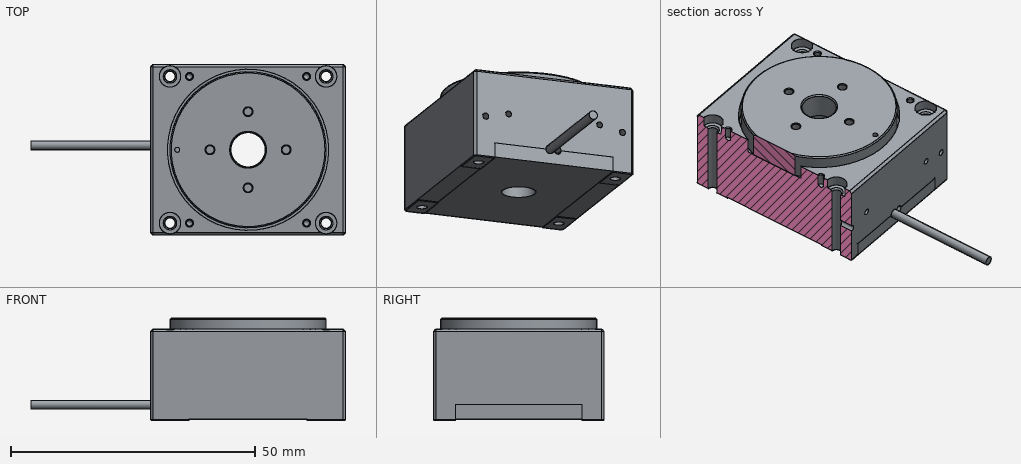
import cadquery as cq
import math

TOTAL_LENGTH = 64.5
HOUSING_LENGTH = 40.0
HOUSING_WIDTH = 35.0
TOTAL_HEIGHT = 20.95
HOUSING_HEIGHT = 18.7
LEFT_FACE_X = -HOUSING_LENGTH / 2
EDGE_CHAMFER = 0.5
BOTTOM_CHAMFER = 0.2

TABLE_DIAMETER = 32.0
TABLE_CHAMFER = 0.25
RECESS_DIAMETER = 33.0
RECESS_DEPTH = 3.2
RECESS_FLOOR_Z = HOUSING_HEIGHT - RECESS_DEPTH
BORE_DIAMETER = 7.0
BORE_CHAMFER = 0.25
TABLE_HOLE_OFFSET = 7.8
TABLE_HOLE_DIAMETER = 1.7
TABLE_HOLE_MOUTH = 2.0
TABLE_HOLE_DEPTH = 2.6
INDEX_HOLE_X = -14.5
INDEX_HOLE_DIAMETER = 1.0
INDEX_HOLE_DEPTH = 1.0

FOOT_LENGTH = 7.9
FOOT_HEIGHT = 0.2
PLATE_WIDTH = 26.0
PLATE_TOP_Z = 3.2

CORNER_HOLE_X = 16.0
CORNER_HOLE_Y = 15.0
CORNER_HOLE_DIAMETER = 2.1
CORNER_HOLE_MOUTH = 2.8
COUNTERBORE_DIAMETER = 4.4
COUNTERBORE_DEPTH = 2.2
TOP_HOLE_X = 12.0
TOP_HOLE_DIAMETER = 1.2
TOP_HOLE_MOUTH = 1.6
TOP_HOLE_DEPTH = 2.6

SIDE_HOLE_Y = 10.0
SIDE_HOLE_Z = 9.8
SIDE_HOLE_DIAMETER = 1.2
SIDE_HOLE_DEPTH = 2.6
CROSS_HOLE_Z = 8.8
CROSS_HOLE_DIAMETER = 1.3
DRILL_POINT_ANGLE = 118.0

CABLE_DIAMETER = 1.8
CABLE_Y = 0.9
SEAM_HOLE_DIAMETER = 1.55
SEAM_HOLE_Y = CABLE_Y - (CABLE_DIAMETER + SEAM_HOLE_DIAMETER) / 2
SEAM_HOLE_DEPTH = 2.6

UP = cq.Vector(0, 0, 1)
DOWN = cq.Vector(0, 0, -1)
INWARD = cq.Vector(1, 0, 0)


def cylinder(diameter, length, start, direction):
    """Round bar from the centre of one end."""
    return cq.Workplane(cq.Solid.makeCylinder(diameter / 2, length, cq.Vector(*start), direction))


def countersink(mouth, diameter, start):
    """45 degree cone that opens a vertical hole at its upper end."""
    depth = (mouth - diameter) / 2
    return cq.Workplane(cq.Solid.makeCone(mouth / 2, diameter / 2, depth, cq.Vector(*start), DOWN))


def drilled_hole(diameter, depth, start, direction):
    """Blind hole that ends in a drill point."""
    point_depth = diameter / 2 / math.tan(math.radians(DRILL_POINT_ANGLE / 2))
    point_start = cq.Vector(*start) + direction * depth
    point = cq.Solid.makeCone(diameter / 2, 0, point_depth, point_start, direction)
    return cylinder(diameter, depth, start, direction).union(cq.Workplane(point))


def bore():
    return cylinder(BORE_DIAMETER, TOTAL_HEIGHT, (0, 0, 0), UP)


def seam_hole():
    """Hole on the seam between the housing and the base plate."""
    start = (LEFT_FACE_X, SEAM_HOLE_Y, PLATE_TOP_Z)
    return cylinder(SEAM_HOLE_DIAMETER, SEAM_HOLE_DEPTH, start, INWARD)


def make_housing_block():
    block = (
        cq.Workplane("XY")
        .box(HOUSING_LENGTH, HOUSING_WIDTH, HOUSING_HEIGHT, centered=(True, True, False))
        .edges("|Z or >Z")
        .chamfer(EDGE_CHAMFER)
        .faces("<Z")
        .edges()
        .chamfer(BOTTOM_CHAMFER)
    )
    foot_gap = cq.Workplane("XY").box(
        HOUSING_LENGTH - 2 * FOOT_LENGTH, HOUSING_WIDTH, FOOT_HEIGHT, centered=(True, True, False)
    )
    plate_slot = cq.Workplane("XY").box(
        HOUSING_LENGTH, PLATE_WIDTH, PLATE_TOP_Z, centered=(True, True, False)
    )
    table_recess = cylinder(RECESS_DIAMETER, RECESS_DEPTH, (0, 0, RECESS_FLOOR_Z), UP)
    return block.cut(foot_gap).cut(plate_slot).cut(table_recess)


def corner_hole(x, y):
    """Counterbored through hole."""
    floor_z = HOUSING_HEIGHT - COUNTERBORE_DEPTH
    return (
        cylinder(CORNER_HOLE_DIAMETER, HOUSING_HEIGHT, (x, y, 0), UP)
        .union(cylinder(COUNTERBORE_DIAMETER, COUNTERBORE_DEPTH, (x, y, floor_z), UP))
        .union(countersink(CORNER_HOLE_MOUTH, CORNER_HOLE_DIAMETER, (x, y, floor_z)))
    )


def top_hole(x, y):
    start = (x, y, HOUSING_HEIGHT)
    hole = drilled_hole(TOP_HOLE_DIAMETER, TOP_HOLE_DEPTH, start, DOWN)
    return hole.union(countersink(TOP_HOLE_MOUTH, TOP_HOLE_DIAMETER, start))


def make_housing():
    housing = make_housing_block().cut(bore()).cut(seam_hole())
    for y_side in (-1, 1):
        y = y_side * CORNER_HOLE_Y
        for x_side in (-1, 1):
            housing = housing.cut(corner_hole(x_side * CORNER_HOLE_X, y))
            housing = housing.cut(top_hole(x_side * TOP_HOLE_X, y))

        cross_hole_length = HOUSING_LENGTH / 2 - CORNER_HOLE_X
        cross_start = (LEFT_FACE_X, y, CROSS_HOLE_Z)
        housing = housing.cut(cylinder(CROSS_HOLE_DIAMETER, cross_hole_length, cross_start, INWARD))

        side_start = (LEFT_FACE_X, y_side * SIDE_HOLE_Y, SIDE_HOLE_Z)
        housing = housing.cut(drilled_hole(SIDE_HOLE_DIAMETER, SIDE_HOLE_DEPTH, side_start, INWARD))
    return housing


def make_table():
    thickness = TOTAL_HEIGHT - RECESS_FLOOR_Z
    table = cylinder(TABLE_DIAMETER, thickness, (0, 0, RECESS_FLOOR_Z), UP)
    table = table.faces(">Z").chamfer(TABLE_CHAMFER).cut(bore())
    bore_mouth = BORE_DIAMETER + 2 * BORE_CHAMFER
    table = table.cut(countersink(bore_mouth, BORE_DIAMETER, (0, 0, TOTAL_HEIGHT)))

    for x_step, y_step in ((1, 0), (0, 1), (-1, 0), (0, -1)):
        start = (x_step * TABLE_HOLE_OFFSET, y_step * TABLE_HOLE_OFFSET, TOTAL_HEIGHT)
        table = table.cut(cylinder(TABLE_HOLE_DIAMETER, TABLE_HOLE_DEPTH, start, DOWN))
        table = table.cut(countersink(TABLE_HOLE_MOUTH, TABLE_HOLE_DIAMETER, start))

    index_start = (INDEX_HOLE_X, 0, TOTAL_HEIGHT)
    return table.cut(cylinder(INDEX_HOLE_DIAMETER, INDEX_HOLE_DEPTH, index_start, DOWN))


def make_base_plate():
    thickness = PLATE_TOP_Z - FOOT_HEIGHT
    plate = (
        cq.Workplane("XY")
        .workplane(offset=FOOT_HEIGHT)
        .box(HOUSING_LENGTH, PLATE_WIDTH, thickness, centered=(True, True, False))
    )
    return plate.cut(bore()).cut(seam_hole())


def make_cable():
    """Cable that ends on the left face of the housing."""
    length = TOTAL_LENGTH - HOUSING_LENGTH
    return cylinder(CABLE_DIAMETER, length, (LEFT_FACE_X - length, CABLE_Y, PLATE_TOP_Z), INWARD)


housing = make_housing()
table = make_table()
base_plate = make_base_plate()
cable = make_cable()

result = cq.Compound.makeCompound([housing.val(), table.val(), base_plate.val(), cable.val()])